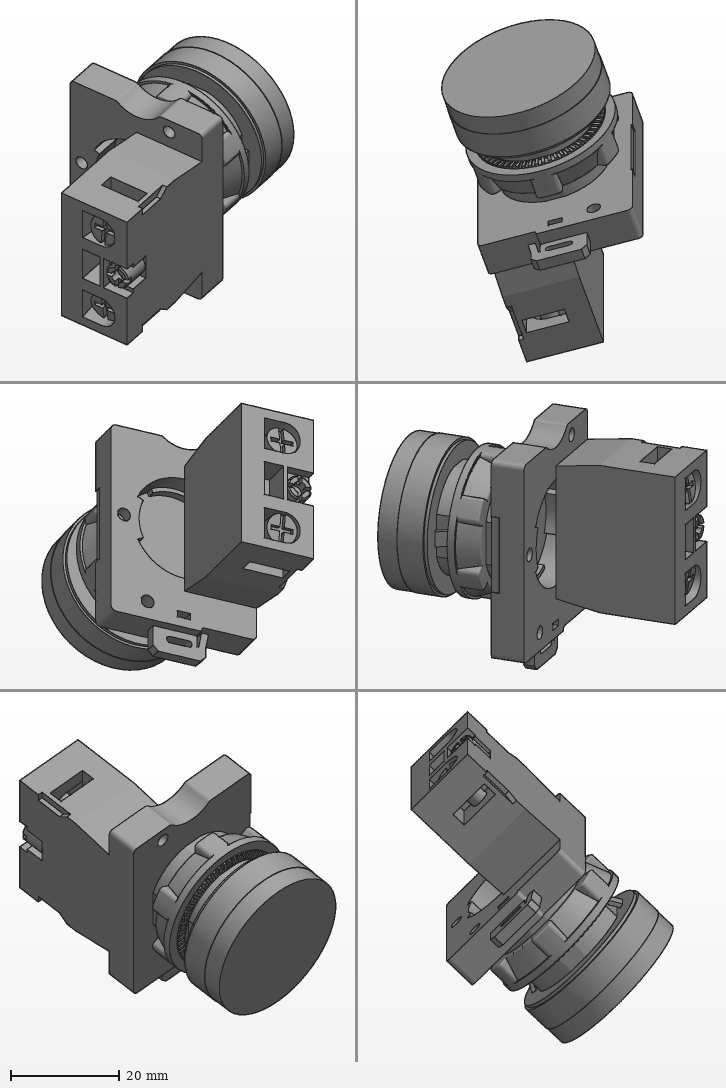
import cadquery as cq
import math


PLATE_HALF_WIDTH = 15.0
PLATE_THICK = 6.6
PLATE_LEFT_TOP = 18.55
PLATE_RIGHT_TOP = 19.5
PLATE_LEFT_BOTTOM = -20.85
PLATE_RIGHT_BOTTOM = -20.0
PLATE_CORNER_R = 1.0
BOTTOM_STEP_X = 3.75
BOTTOM_STEP_R = 0.4
NOTCH_R = 6.9
NOTCH_BOTTOM = 16.9
FIXING_HOLES = [(7.5, 16.75), (-7.5, -17.2)]
FIXING_DIA = 2.6
SLOT_WIDTH, SLOT_HEIGHT, SLOT_Z = 2.7, 1.3, -18.3

SOCKET_R = 10.5
SOCKET_DEPTH = 5.9
KEY_R = 9.25
KEY_HALF_ANGLE = 25.3
LEDGE_R = 9.65
LEDGE_HALF_ANGLE = 26.5
LEDGE_TOP_DEPTH = 4.2

INDICATOR_X = -12.35
INDICATOR_DEPTH = 2.5
RAMP_X = -12.5
RAMP_DEPTH = 5.0
SIDE_RECESS_LENGTH, SIDE_RECESS_WIDTH, SIDE_RECESS_DEPTH = 15.0, 1.6, 0.25

TAB_FRONT_DEPTH = 1.95
TAB_THICK = 2.2
TAB_BOTTOM = -26.0
TAB_LEFT, TAB_RIGHT, TAB_ROOT_RIGHT = -5.4, 5.45, 6.0
TAB_SLOPE_END_Z = -23.1
TAB_CHAMFER = 1.05
TAB_SLOT_LENGTH, TAB_SLOT_HEIGHT, TAB_SLOT_Z = 5.2, 1.3, -22.95
CLEFT_LEFT, CLEFT_BOTTOM_WIDTH, CLEFT_TOP_WIDTH = 3.65, 0.35, 0.95

BUTTON_END = 29.5
CAP_DIA, CAP_LENGTH = 29.8, 3.9
BEZEL_DIA, BEZEL_LENGTH = 30.0, 5.25
GASKET_DIA, GASKET_LENGTH = 29.0, 0.65
NECK_DIA = 21.8
NECK_FLAT_X, NECK_FLAT_Z = 10.05, 10.72
CLIP_WIDTH = 3.0
CLIP_EMBED = 0.3
CLIP_ROOT_X = NECK_FLAT_X - CLIP_EMBED
CLIP_OUTLINE = [
    (CLIP_ROOT_X, 16.9),
    (10.5, 16.9),
    (10.9, 17.35),
    (12.0, 19.2),
    (11.5, 19.4),
    (11.0, 19.4),
    (10.85, 18.85),
    (NECK_FLAT_X, 17.6),
    (CLIP_ROOT_X, 17.6),
]

NUT_START, NUT_END = 9.75, 15.7
NUT_DIA = 29.0
FLANGE_THICK = 1.5
NUT_EDGE_R = 0.35
CORE_R_FLANGE, CORE_R_END = 14.0, 12.4
LUG_COUNT = 6
LUG_FLAT_WIDTH, LUG_EDGE_R = 3.3, 0.9
TEETH_DIA, TEETH_HEIGHT, TEETH_COUNT = 25.2, 0.5, 60
TOOTH_GAP, TOOTH_GAP_DEPTH = 0.65, 0.35

BLOCK_LENGTH = 24.0
BLOCK_LEFT, BLOCK_RIGHT = 0.1, PLATE_HALF_WIDTH
BLOCK_HALF_HEIGHT = 14.65
BLOCK_ROOT_HALF_HEIGHT = 13.2
BLOCK_TAPER_LENGTH = 8.9
TERMINAL_X, TERMINAL_Z = 9.05, 9.48
TERMINAL_TILT = 9.5
TERMINAL_R = 3.17
TERMINAL_LEFT = 4.88
TERMINAL_DEPTH = 7.2
TERMINAL_LEAD = 1.0
SCREW_DIA, SCREW_SHANK_DIA = 6.2, 3.5
SCREW_SUNK, SCREW_HEAD_THICK, SHANK_EMBED = 1.2, 2.0, 1.0
CROSS_WIDTH, CROSS_LENGTH, CROSS_DEPTH = 0.9, 4.5, 1.0
WIRE_LEFT, WIRE_RIGHT = 4.85, 13.1
WIRE_FRONT, WIRE_HEIGHT, WIRE_FLOOR_Z = 6.2, 2.9, 5.0
WINDOW_LEFT, WINDOW_RIGHT, WINDOW_HEIGHT, WINDOW_DEPTH = 4.88, 8.8, 6.95, 6.0
CLAMP_LEFT, CLAMP_DEPTH = 9.64, 2.0
CLAMP_X, CLAMP_SEAT_R, CLAMP_SEAT_DEPTH = 12.37, 2.6, 4.0
CLAMP_HEAD_DIA, CLAMP_SUNK = 5.0, 0.4
CLAMP_BORE_DIA, CLAMP_BORE_DEPTH = 2.5, 2.0
CLAMP_HEAD_CHAMFER, CLAMP_CROSS_WIDTH, CLAMP_CROSS_DEPTH = 0.3, 0.8, 1.2
LATCH_DEPTH_X, LATCH_DEPTH_Z = 0.95, 1.5
LATCH_FRONT, LATCH_FLAT_END, LATCH_END = 5.0, 10.7, 12.7


def at_y(y):
    """Sketch plane across the button axis at position y; extruding runs towards -Y."""
    return cq.Workplane("XZ", origin=(0, y, 0))


def disc(radius, y0, y1, x=0.0, z=0.0):
    return at_y(y1).center(x, z).circle(radius).extrude(y1 - y0)


def block(x0, x1, y0, y1, z0, z1):
    return cq.Workplane("XY").box(x1 - x0, y1 - y0, z1 - z0, centered=False).translate((x0, y0, z0))


def polar(radius, degrees):
    return (radius * math.cos(math.radians(degrees)), radius * math.sin(math.radians(degrees)))


def sector(radius, mid_angle, half_angle, y0, y1):
    """Pie slice about the button axis."""
    return (
        at_y(y1)
        .lineTo(*polar(radius, mid_angle - half_angle))
        .threePointArc(polar(radius, mid_angle), polar(radius, mid_angle + half_angle))
        .close()
        .extrude(y1 - y0)
    )


def plate_outline():
    notch_z = NOTCH_BOTTOM + NOTCH_R
    notch_left = -math.sqrt(NOTCH_R**2 - (notch_z - PLATE_LEFT_TOP) ** 2)
    notch_right = math.sqrt(NOTCH_R**2 - (notch_z - PLATE_RIGHT_TOP) ** 2)
    plate = (
        at_y(PLATE_THICK)
        .moveTo(-PLATE_HALF_WIDTH, PLATE_LEFT_BOTTOM)
        .lineTo(-PLATE_HALF_WIDTH, PLATE_LEFT_TOP)
        .lineTo(notch_left, PLATE_LEFT_TOP)
        .threePointArc((0, NOTCH_BOTTOM), (notch_right, PLATE_RIGHT_TOP))
        .lineTo(PLATE_HALF_WIDTH, PLATE_RIGHT_TOP)
        .lineTo(PLATE_HALF_WIDTH, PLATE_RIGHT_BOTTOM)
        .lineTo(BOTTOM_STEP_X, PLATE_RIGHT_BOTTOM)
        .lineTo(BOTTOM_STEP_X, PLATE_LEFT_BOTTOM)
        .close()
        .extrude(PLATE_THICK)
    )
    margin = BOTTOM_STEP_R / 2
    step_edges = cq.selectors.BoxSelector(
        (BOTTOM_STEP_X - margin, 0, PLATE_LEFT_BOTTOM - margin),
        (BOTTOM_STEP_X + margin, PLATE_THICK, PLATE_RIGHT_BOTTOM + margin),
    )
    corner_edges = cq.selectors.SubtractSelector(cq.selectors.ParallelDirSelector(cq.Vector(0, 1, 0)), step_edges)
    plate = plate.edges(corner_edges).fillet(PLATE_CORNER_R)
    return plate.edges("|Y").edges(step_edges).fillet(BOTTOM_STEP_R)


def socket():
    """Bore for the neck, less the two keys and the two buried ledges."""
    bore = disc(SOCKET_R, 0, SOCKET_DEPTH)
    for angle in (0, 180):
        key = sector(2 * SOCKET_R, angle, KEY_HALF_ANGLE, 0, SOCKET_DEPTH)
        bore = bore.cut(key.cut(disc(KEY_R, 0, SOCKET_DEPTH)))
    for angle in (90, 270):
        ledge = sector(2 * SOCKET_R, angle, LEDGE_HALF_ANGLE, LEDGE_TOP_DEPTH, SOCKET_DEPTH)
        bore = bore.cut(ledge.cut(disc(LEDGE_R, LEDGE_TOP_DEPTH, SOCKET_DEPTH)))
    return bore


def indicator_hole():
    radius = FIXING_DIA / 2
    ramp = (
        cq.Workplane("XY", origin=(0, 0, -radius))
        .moveTo(RAMP_X, 0)
        .lineTo(RAMP_X, INDICATOR_DEPTH)
        .lineTo(INDICATOR_X - radius, RAMP_DEPTH)
        .lineTo(INDICATOR_X - radius, 0)
        .close()
        .extrude(FIXING_DIA)
    )
    ramp = ramp.intersect(disc(radius, 0, RAMP_DEPTH, INDICATOR_X))
    return disc(radius, 0, INDICATOR_DEPTH, INDICATOR_X).union(ramp)


def mounting_plate():
    plate = plate_outline().cut(socket()).cut(indicator_hole())
    for x, z in FIXING_HOLES:
        plate = plate.cut(disc(FIXING_DIA / 2, 0, PLATE_THICK, x, z))
    plate = plate.cut(at_y(PLATE_THICK).center(0, SLOT_Z).rect(SLOT_WIDTH, SLOT_HEIGHT).extrude(PLATE_THICK))
    side_recess = block(
        -PLATE_HALF_WIDTH,
        -PLATE_HALF_WIDTH + SIDE_RECESS_DEPTH,
        PLATE_THICK - SIDE_RECESS_WIDTH,
        PLATE_THICK,
        -SIDE_RECESS_LENGTH / 2,
        SIDE_RECESS_LENGTH / 2,
    )
    return plate.cut(side_recess)


def locking_tab():
    back = TAB_FRONT_DEPTH + TAB_THICK
    root_z = PLATE_RIGHT_BOTTOM
    tab = (
        at_y(back)
        .moveTo(TAB_LEFT, PLATE_LEFT_BOTTOM)
        .lineTo(TAB_LEFT, TAB_BOTTOM + TAB_CHAMFER)
        .lineTo(TAB_LEFT + TAB_CHAMFER, TAB_BOTTOM)
        .lineTo(TAB_RIGHT - TAB_CHAMFER, TAB_BOTTOM)
        .lineTo(TAB_RIGHT, TAB_BOTTOM + TAB_CHAMFER)
        .lineTo(TAB_RIGHT, TAB_SLOPE_END_Z)
        .lineTo(TAB_ROOT_RIGHT, root_z)
        .lineTo(CLEFT_LEFT + CLEFT_TOP_WIDTH, root_z)
        .lineTo(CLEFT_LEFT + CLEFT_BOTTOM_WIDTH, TAB_SLOPE_END_Z)
        .lineTo(CLEFT_LEFT, TAB_SLOPE_END_Z)
        .lineTo(CLEFT_LEFT, PLATE_LEFT_BOTTOM)
        .close()
        .extrude(TAB_THICK)
    )
    slot = at_y(back).center(0, TAB_SLOT_Z).slot2D(TAB_SLOT_LENGTH, TAB_SLOT_HEIGHT).extrude(TAB_THICK)
    return tab.cut(slot)


def spring_clip():
    """Bent blade on the +X side of the neck."""
    return cq.Workplane("XY", origin=(0, 0, -CLIP_WIDTH / 2)).polyline(CLIP_OUTLINE).close().extrude(CLIP_WIDTH)


def button():
    cap_start = BUTTON_END - CAP_LENGTH
    bezel_start = cap_start - BEZEL_LENGTH
    gasket_start = bezel_start - GASKET_LENGTH
    neck = disc(NECK_DIA / 2, SOCKET_DEPTH, gasket_start).intersect(
        block(-NECK_FLAT_X, NECK_FLAT_X, 0, BUTTON_END, -NECK_FLAT_Z, NECK_FLAT_Z)
    )
    clip = spring_clip()
    return (
        neck.union(disc(GASKET_DIA / 2, gasket_start, bezel_start))
        .union(disc(BEZEL_DIA / 2, bezel_start, cap_start))
        .union(disc(CAP_DIA / 2, cap_start, BUTTON_END))
        .union(clip)
        .union(clip.mirror("YZ"))
    )


def nut_lug():
    """One grip lug, pointing to +Z, with rounded outer edges."""
    radius = NUT_DIA / 2
    half = LUG_FLAT_WIDTH / 2 + LUG_EDGE_R
    return (
        disc(radius, NUT_START, NUT_END - FLANGE_THICK)
        .intersect(block(-half, half, NUT_START, NUT_END, NECK_DIA / 2, radius))
        .edges("|Y and (>X or <X)")
        .edges(">Z")
        .fillet(LUG_EDGE_R)
        .faces("<Y")
        .edges("not <Z")
        .fillet(NUT_EDGE_R)
    )


def ring_nut():
    radius = NUT_DIA / 2
    flange_start = NUT_END - FLANGE_THICK
    nut = (
        cq.Workplane("XY")
        .moveTo(0, NUT_START)
        .lineTo(CORE_R_END, NUT_START)
        .lineTo(CORE_R_FLANGE, flange_start)
        .lineTo(0, flange_start)
        .close()
        .revolve(360, (0, 0), (0, 1))
        .faces("<Y")
        .edges()
        .fillet(NUT_EDGE_R)
    )
    for index in range(LUG_COUNT):
        nut = nut.union(nut_lug().rotate((0, 0, 0), (0, 1, 0), index * 360 / LUG_COUNT))
    nut = nut.union(disc(radius, flange_start, NUT_END))

    teeth_end = NUT_END + TEETH_HEIGHT
    gap_length = (TEETH_DIA - NECK_DIA) / 2
    gap_mid = (TEETH_DIA + NECK_DIA) / 4
    gaps = (
        at_y(teeth_end)
        .polarArray(gap_mid, 0, 360, TEETH_COUNT)
        .rect(gap_length, TOOTH_GAP)
        .extrude(TOOTH_GAP_DEPTH)
    )
    return nut.union(disc(TEETH_DIA / 2, NUT_END, teeth_end).cut(gaps))


def block_body():
    return (
        cq.Workplane("YZ", origin=(BLOCK_LEFT, 0, 0))
        .moveTo(0, BLOCK_ROOT_HALF_HEIGHT)
        .lineTo(-BLOCK_TAPER_LENGTH, BLOCK_HALF_HEIGHT)
        .lineTo(-BLOCK_LENGTH, BLOCK_HALF_HEIGHT)
        .lineTo(-BLOCK_LENGTH, -BLOCK_HALF_HEIGHT)
        .lineTo(-BLOCK_TAPER_LENGTH, -BLOCK_HALF_HEIGHT)
        .lineTo(0, -BLOCK_ROOT_HALF_HEIGHT)
        .close()
        .extrude(BLOCK_RIGHT - BLOCK_LEFT)
    )


def tilt_terminal(shape):
    """Lean a shape on the terminal centre so that its front faces slightly upwards."""
    pivot = cq.Vector(0, -BLOCK_LENGTH, TERMINAL_Z)
    return shape.rotate(pivot.toTuple(), (pivot + cq.Vector(1, 0, 0)).toTuple(), -TERMINAL_TILT)


def terminal_cavity():
    """Tilted screw well and the wire entry of the upper terminal."""
    front = -BLOCK_LENGTH - TERMINAL_LEAD
    floor = -BLOCK_LENGTH + TERMINAL_DEPTH
    well = disc(TERMINAL_R, front, floor, TERMINAL_X, TERMINAL_Z).union(
        block(TERMINAL_LEFT, TERMINAL_X, front, floor, TERMINAL_Z - TERMINAL_R, TERMINAL_Z + TERMINAL_R)
    )
    wire_start = -BLOCK_LENGTH + WIRE_FRONT
    wire = block(
        WIRE_LEFT, WIRE_RIGHT, wire_start, wire_start + WIRE_HEIGHT, WIRE_FLOOR_Z, BLOCK_HALF_HEIGHT
    )
    return tilt_terminal(well).union(wire)


def terminal_screw():
    """Cross-slotted screw of the upper terminal."""
    head_front = -BLOCK_LENGTH + SCREW_SUNK
    cross_floor = head_front + CROSS_DEPTH
    shank_end = -BLOCK_LENGTH + WIRE_FRONT + WIRE_HEIGHT + SHANK_EMBED
    cross = (
        at_y(cross_floor)
        .center(TERMINAL_X, TERMINAL_Z)
        .rect(CROSS_LENGTH, CROSS_WIDTH)
        .extrude(CROSS_DEPTH)
        .union(
            at_y(cross_floor)
            .center(TERMINAL_X, TERMINAL_Z)
            .rect(CROSS_WIDTH, SCREW_DIA)
            .extrude(CROSS_DEPTH)
        )
    )
    screw = (
        disc(SCREW_DIA / 2, head_front, head_front + SCREW_HEAD_THICK, TERMINAL_X, TERMINAL_Z)
        .cut(cross)
        .union(disc(SCREW_SHANK_DIA / 2, cross_floor, shank_end, TERMINAL_X, TERMINAL_Z))
    )
    return tilt_terminal(screw)


def latch_recess():
    """Shallow catch with a ramped end in the upper +X edge of the block."""
    low = BLOCK_HALF_HEIGHT - LATCH_DEPTH_Z
    return (
        cq.Workplane("YZ", origin=(BLOCK_RIGHT - LATCH_DEPTH_X, 0, 0))
        .moveTo(-BLOCK_LENGTH + LATCH_FRONT, BLOCK_HALF_HEIGHT)
        .lineTo(-BLOCK_LENGTH + LATCH_FRONT, low)
        .lineTo(-BLOCK_LENGTH + LATCH_FLAT_END, low)
        .lineTo(-BLOCK_LENGTH + LATCH_END, BLOCK_HALF_HEIGHT)
        .close()
        .extrude(LATCH_DEPTH_X)
    )


def clamp_recess():
    """Pocket and screw seat that open on the +X side."""
    half = WINDOW_HEIGHT / 2
    pocket_floor = -BLOCK_LENGTH + CLAMP_DEPTH
    seat_floor = pocket_floor + CLAMP_SEAT_DEPTH
    return (
        block(CLAMP_LEFT, BLOCK_RIGHT, -BLOCK_LENGTH, pocket_floor, -half, half)
        .union(disc(CLAMP_SEAT_R, pocket_floor, seat_floor, CLAMP_X))
        .union(block(CLAMP_X, BLOCK_RIGHT, pocket_floor, seat_floor, -CLAMP_SEAT_R, CLAMP_SEAT_R))
    )


def clamp_screw():
    head_front = -BLOCK_LENGTH + CLAMP_SUNK
    seat_floor = -BLOCK_LENGTH + CLAMP_DEPTH + CLAMP_SEAT_DEPTH
    cross_floor = head_front + CLAMP_CROSS_DEPTH
    screw = disc(CLAMP_HEAD_DIA / 2, head_front, seat_floor, CLAMP_X)
    screw = screw.faces("<Y").chamfer(CLAMP_HEAD_CHAMFER)
    cutter = disc(CLAMP_BORE_DIA / 2, head_front, head_front + CLAMP_BORE_DEPTH, CLAMP_X)
    for size in ((CLAMP_HEAD_DIA, CLAMP_CROSS_WIDTH), (CLAMP_CROSS_WIDTH, CLAMP_HEAD_DIA)):
        cutter = cutter.union(at_y(cross_floor).center(CLAMP_X, 0).rect(*size).extrude(CLAMP_CROSS_DEPTH))
    return screw.cut(cutter)


def contact_block():
    half = WINDOW_HEIGHT / 2
    window = block(WINDOW_LEFT, WINDOW_RIGHT, -BLOCK_LENGTH, -BLOCK_LENGTH + WINDOW_DEPTH, -half, half)
    body = block_body().cut(window).cut(clamp_recess()).union(clamp_screw())
    cavity = terminal_cavity().union(latch_recess())
    screw = terminal_screw()
    body = body.cut(cavity).cut(cavity.mirror("XY"))
    return body.union(screw).union(screw.mirror("XY"))


result = (
    mounting_plate()
    .union(locking_tab())
    .union(button())
    .union(ring_nut())
    .union(contact_block())
)